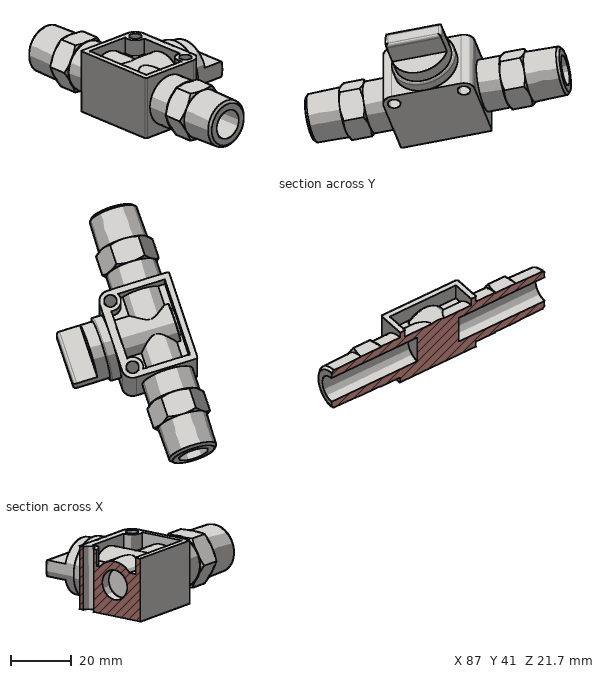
import cadquery as cq
import math

total_length = 87
half_length = total_length / 2

body_width = 31.15
body_height = 21.7
body_front_y = -10.5
body_back_y = 14.5
body_top_z = body_height / 2
back_corner_radius = 3.65
front_corner_radius = 0.6

side_wall = 2.1
front_wall = 2.1
back_wall = 2.9
pocket_depth = 5.6
pocket_floor_z = body_top_z - pocket_depth
pocket_front_y = body_front_y + front_wall
pocket_back_y = body_back_y - back_wall

mount_hole_diameter = 4.2
mount_boss_radius = 3.5
mount_x = body_width / 2 - back_corner_radius
mount_y = body_back_y - back_corner_radius

flow_shell_radius = 8.1
stem_shell_radius = 8.5
stem_shell_front_y = -7.5
stem_stub_radius = 7.05

neck_diameter = 17.5
hex_across_flats = 17.0
hex_inner_x = 23.3
hex_length = 8.3
hex_outer_x = hex_inner_x + hex_length
hex_chamfer_angle = 30
thread_root_radius = 8.4
thread_tip_radius = 8.2
thread_end_radius = 7.3
thread_chamfer_length = 0.9
bore_diameter = 10.0

collar_diameter = 21.7
collar_back_y = 18.0
collar_edge_radius = 0.4
knob_diameter = 19.5
grip_front_y = 22.3
grip_thickness = 5.6
knob_back_y = 30.45
grip_edge_radius = 1.05


def box_between(x_size, y_front, y_back, z_bottom, z_top):
    """Box centred on X = 0 between the given Y and Z limits."""
    size = (x_size, y_back - y_front, z_top - z_bottom)
    box = cq.Workplane("XY").box(*size, centered=(True, False, False))
    return box.translate((0, y_front, z_bottom))


def cylinder_x(radius, x_start, x_end):
    """Cylinder along the flow axis."""
    return cq.Workplane("YZ", origin=(x_start, 0, 0)).circle(radius).extrude(x_end - x_start)


def cylinder_y(radius, y_front, y_back):
    """Cylinder along the stem axis."""
    return cq.Workplane("XZ", origin=(0, y_front, 0)).circle(radius).extrude(y_front - y_back)


def make_pocket():
    """Pocket volume, less the shells and corner bosses left standing in it."""
    pocket_width = body_width - 2 * side_wall
    pocket = box_between(pocket_width, pocket_front_y, pocket_back_y, pocket_floor_z, body_top_z)
    pocket = pocket.cut(cylinder_x(flow_shell_radius, -half_length, half_length))
    pocket = pocket.cut(cylinder_y(stem_shell_radius, stem_shell_front_y, body_back_y))
    pocket = pocket.cut(cylinder_y(stem_stub_radius, body_front_y, stem_shell_front_y))
    for side in (-1, 1):
        boss = cq.Workplane("XY").center(side * mount_x, mount_y).circle(mount_boss_radius)
        pocket = pocket.cut(boss.extrude(body_top_z))
    return pocket


def make_body():
    """Housing block with rounded corners, top pocket and mounting holes."""
    body = box_between(body_width, body_front_y, body_back_y, -body_top_z, body_top_z)
    body = body.edges("|Z and >Y").fillet(back_corner_radius)
    body = body.edges("|Z and <Y").fillet(front_corner_radius)
    body = body.cut(make_pocket())
    hole_centers = [(-mount_x, mount_y), (mount_x, mount_y)]
    holes = cq.Workplane("XY").pushPoints(hole_centers).circle(mount_hole_diameter / 2)
    return body.cut(holes.extrude(body_top_z, both=True))


def make_hex():
    """Hexagon with flats facing +Z and -Z and conically chamfered corners."""
    across_corners = hex_across_flats / math.cos(math.radians(30))
    hexagon = cq.Workplane("YZ", origin=(hex_inner_x, 0, 0)).polygon(6, across_corners)
    hexagon = hexagon.extrude(hex_length)
    flat_radius = hex_across_flats / 2
    corner_radius = across_corners / 2
    chamfer_length = (corner_radius - flat_radius) * math.tan(math.radians(hex_chamfer_angle))
    envelope = (
        cq.Workplane("XY")
        .moveTo(hex_inner_x, 0)
        .lineTo(hex_inner_x, flat_radius)
        .lineTo(hex_inner_x + chamfer_length, corner_radius)
        .lineTo(hex_outer_x - chamfer_length, corner_radius)
        .lineTo(hex_outer_x, flat_radius)
        .lineTo(hex_outer_x, 0)
        .close()
        .revolve(360, (0, 0, 0), (1, 0, 0))
    )
    return hexagon.intersect(envelope)


def make_fitting():
    """Fitting on the +X side: neck, hexagon and tapered, chamfered thread end."""
    neck = cylinder_x(neck_diameter / 2, body_width / 2, hex_inner_x)
    thread = (
        cq.Workplane("XY")
        .moveTo(hex_outer_x, 0)
        .lineTo(hex_outer_x, thread_root_radius)
        .lineTo(half_length - thread_chamfer_length, thread_tip_radius)
        .lineTo(half_length, thread_end_radius)
        .lineTo(half_length, 0)
        .close()
        .revolve(360, (0, 0, 0), (1, 0, 0))
    )
    return neck.union(make_hex()).union(thread)


def make_knob():
    """Collar, round knob base and flat grip with a rounded end."""
    collar = cylinder_y(collar_diameter / 2, body_back_y, collar_back_y)
    collar = collar.edges(">Y").fillet(collar_edge_radius)
    base = cylinder_y(knob_diameter / 2, collar_back_y, grip_front_y)
    grip = cylinder_y(knob_diameter / 2, grip_front_y, knob_back_y)
    half_grip = grip_thickness / 2
    grip = grip.intersect(
        box_between(knob_diameter, grip_front_y, knob_back_y, -half_grip, half_grip)
    )
    grip = grip.faces(">Y").edges().fillet(grip_edge_radius)
    return collar.union(base).union(grip)


fitting = make_fitting()
result = make_body().union(make_knob())
result = result.union(fitting).union(fitting.mirror("YZ"))

bore = cylinder_x(bore_diameter / 2, stem_shell_radius, half_length)
result = result.cut(bore).cut(bore.mirror("YZ"))